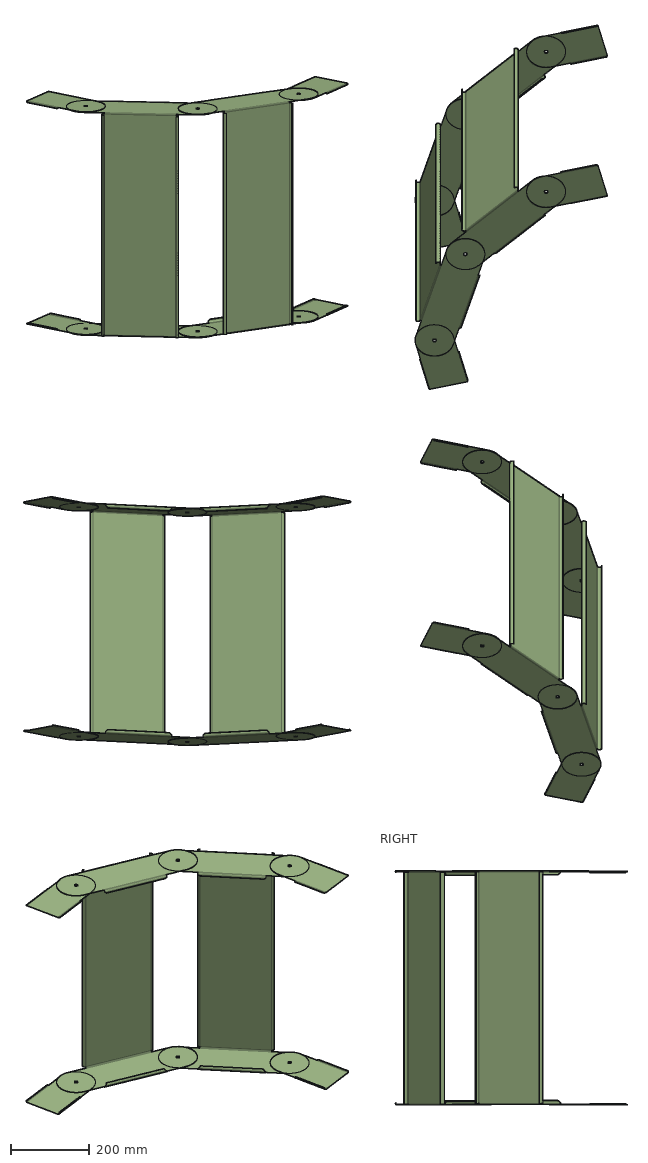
import cadquery as cq
import math

HEIGHT = 601.0
SHEET = 1.5
HALF_WIDTH = 50.0
LINK_LENGTH = 287.5
LINK_ANGLE = 30.0
ARM_LENGTH = 150.0
HOLE_DIAMETER = 9.0

PANEL_BEND = 3.0
PANEL_LENGTH = 185.0
LIP_RADIUS = 6.5
LINK_HEM_RADIUS = 5.7
LINK_HEM_LENGTH = 175.5
LINK_HEM_CHAMFER = 7.0
ARM_HEM_RADIUS = 2.5
ARM_HEM_LENGTH = 96.0
ARM_HEM_CHAMFER = 3.0
ARM_HEM_INSET = 2.0

LINK_BOTTOM = -HEIGHT / 2
LINK_TOP = HEIGHT / 2 - SHEET
LINK_HEIGHT = LINK_TOP - LINK_BOTTOM
PANEL_FACE = HALF_WIDTH + PANEL_BEND
ARM_HALF_WIDTH = HALF_WIDTH + ARM_HEM_RADIUS

COS_LINK = math.cos(math.radians(LINK_ANGLE))
SIN_LINK = math.sin(math.radians(LINK_ANGLE))
OUTER_SIZE = ARM_LENGTH + ARM_HALF_WIDTH + LINK_LENGTH * (COS_LINK + SIN_LINK)
JOINT_X = ARM_LENGTH - OUTER_SIZE / 2
JOINT_Y = ARM_HALF_WIDTH - OUTER_SIZE / 2


def rolled_hem(length, radius, chamfer=0.0):
    """Half-round hem that leaves a plate edge at y = 0 toward +Y and rolls up over the plate.

    It is centred on x = 0, the plate's underside is z = 0, and the corners of its free edge are
    chamfered.
    """
    hem = (
        cq.Workplane("YZ")
        .threePointArc((radius, radius), (0, 2 * radius))
        .lineTo(0, 2 * radius - SHEET)
        .threePointArc((radius - SHEET, radius), (0, SHEET))
        .close()
        .extrude(length / 2, both=True)
    )
    if chamfer:
        outline = (
            cq.Workplane("XY")
            .box(length, radius, 2 * radius, centered=(True, False, False))
            .faces(">Z")
            .edges("|Y")
            .chamfer(chamfer)
        )
        hem = hem.intersect(outline)
    return hem


def panel_bend():
    """Quarter-round bend from a side plate edge at y = 0 into the panel, with the panel's lower half."""
    inner = PANEL_BEND - SHEET
    diagonal = math.sqrt(0.5)
    return (
        cq.Workplane("YZ")
        .threePointArc((PANEL_BEND * diagonal, PANEL_BEND * (1 - diagonal)), (PANEL_BEND, PANEL_BEND))
        .lineTo(PANEL_BEND, LINK_HEIGHT / 2)
        .lineTo(inner, LINK_HEIGHT / 2)
        .lineTo(inner, PANEL_BEND)
        .threePointArc((inner * diagonal, PANEL_BEND - inner * diagonal), (0, SHEET))
        .close()
        .extrude(PANEL_LENGTH / 2, both=True)
    )


def flip(shape, top):
    """Upside-down copy of a shape whose plate starts at z = 0, with that plate's outside at `top`."""
    return shape.mirror("XY").translate((0, 0, top))


def link_side():
    """Side plate of a link with the hem on its inner edge."""
    plate = (
        cq.Workplane("XY")
        .center(LINK_LENGTH / 2, 0)
        .slot2D(LINK_LENGTH + 2 * HALF_WIDTH, 2 * HALF_WIDTH)
        .extrude(SHEET)
    )
    hem = rolled_hem(LINK_HEM_LENGTH, LINK_HEM_RADIUS, LINK_HEM_CHAMFER)
    return plate.union(hem.translate((LINK_LENGTH / 2, HALF_WIDTH, 0)))


def panel():
    """Outer panel centred on x = 0, bent into both side plates, with an outward rolled lip at each end."""
    lower = panel_bend().mirror("XZ")
    lower = lower.translate((0, -HALF_WIDTH, LINK_BOTTOM))
    upper = lower.mirror("XY").translate((0, 0, LINK_TOP + LINK_BOTTOM))
    lip = (
        rolled_hem(LINK_HEIGHT - 2 * PANEL_BEND, LIP_RADIUS)
        .rotate((0, 0, 0), (1, 1, 1), -120)
        .mirror("XZ")
    )
    lip = lip.translate((PANEL_LENGTH / 2, SHEET - PANEL_FACE, (LINK_TOP + LINK_BOTTOM) / 2))
    return lower.union(upper).union(lip).union(lip.mirror("YZ"))


def arm():
    """End arm from the joint along -X with a hem on both long edges."""
    plate = (
        cq.Workplane("XY")
        .center(-ARM_LENGTH / 2, 0)
        .rect(ARM_LENGTH, 2 * HALF_WIDTH)
        .extrude(SHEET)
    )
    joint_end = cq.Workplane("XY").circle(HALF_WIDTH).extrude(SHEET)
    hem_centre = ARM_HEM_INSET + ARM_HEM_LENGTH / 2 - ARM_LENGTH
    hem = rolled_hem(ARM_HEM_LENGTH, ARM_HEM_RADIUS, ARM_HEM_CHAMFER)
    hem = hem.translate((hem_centre, HALF_WIDTH, 0))
    return plate.union(joint_end).union(hem).union(hem.mirror("XZ"))


def half_bend():
    """One link with an end arm lapped on each of its side plates at the first joint."""
    side = link_side()
    link = (
        panel().translate((LINK_LENGTH / 2, 0, 0))
        .union(side.translate((0, 0, LINK_BOTTOM)))
        .union(flip(side, LINK_TOP))
        .rotate((0, 0, 0), (0, 0, 1), LINK_ANGLE)
    )
    end_arm = arm()
    arms = end_arm.translate((0, 0, LINK_BOTTOM + SHEET)).union(flip(end_arm, LINK_TOP + SHEET))
    pivot_holes = (
        cq.Workplane("XY", origin=(0, 0, LINK_BOTTOM))
        .pushPoints([(0, 0), (LINK_LENGTH * COS_LINK, LINK_LENGTH * SIN_LINK)])
        .circle(HOLE_DIAMETER / 2)
        .extrude(HEIGHT)
    )
    return link.union(arms).cut(pivot_holes).translate((JOINT_X, JOINT_Y, 0))


lower_half = half_bend()
upper_half = lower_half.rotate((0, 0, 0), (1, -1, 0), 180)

result = cq.Compound.makeCompound([lower_half.val(), upper_half.val()])